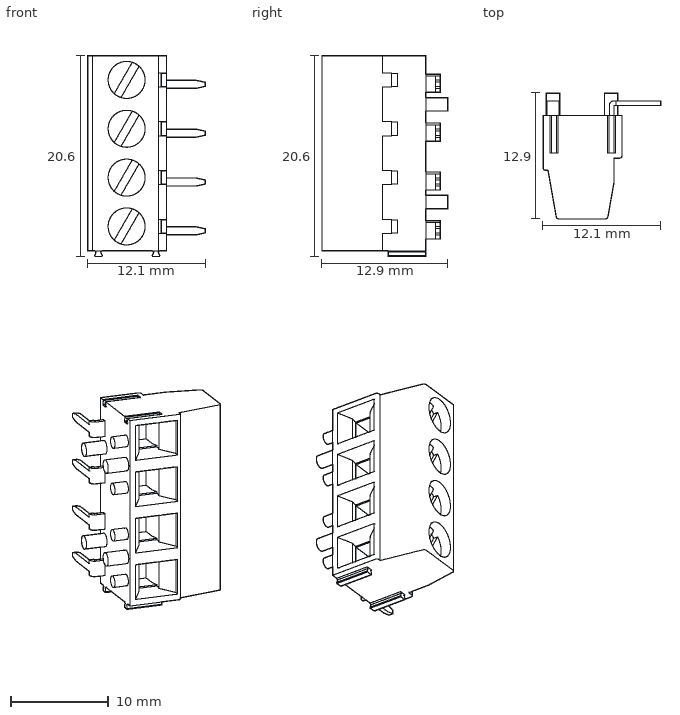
import cadquery as cq
import math


POLES = 4
DOVETAIL_HEIGHT = 0.6
OVERALL_HEIGHT = 20.6
BODY_HEIGHT = OVERALL_HEIGHT - DOVETAIL_HEIGHT
PITCH = BODY_HEIGHT / POLES
POLE_LEVELS = [PITCH * (pole + 0.5) for pole in range(POLES)]

BODY_WIDTH = 8.1
BODY_DEPTH = 10.63
OVERALL_WIDTH = 12.05
OVERALL_DEPTH = 12.9
LEFT_STEP_Y = 4.99
LEFT_STEP_X = 0.5
FLANGE_Y = 6.22
NECK_RIGHT_X = 7.27
RIGHT_TAPER_Y = 3.75
TAPER_SLOPE = math.tan(math.radians(10))
FRONT_RADIUS = 0.3
STEP_RADIUS = 0.25
FLANGE_RADIUS = 0.29

SCREW_X = 4.0
SCREW_DIAMETER = 3.8
SCREW_RECESS = 1.17
SLOT_WIDTH = 0.8
SLOT_DEPTH = 0.5
SLOT_ANGLE = 60

FUNNEL_FRONT_Y = 5.4
FUNNEL_BACK_Y = 10.01
FUNNEL_HEIGHT = 3.73
THROAT_FRONT_Y = 6.88
THROAT_BACK_Y = 9.06
THROAT_HEIGHT = 2.76
FRONT_LIP_DEPTH = 0.29
SIDE_WALL_DEPTH = 1.34
FLOOR_DEPTH = 1.65
THROAT_END_X = 1.9
CLAMP_BACK_Y = 9.0
CLAMP_FRONT_Y = 7.09
CLAMP_HEIGHT = 2.47
CLAMP_SLANT_DEPTH = 0.82
CLAMP_END_X = 4.33

WINDOW_BOTTOM_OFFSET = -0.72
WINDOW_HEIGHT = 1.45
WINDOW_FLOOR_X = 7.54
WINDOW_FLOOR_Y = 7.13
POCKET_MARGIN = 0.05
POCKET_DEPTH = 0.62

DOVETAIL_CENTERS = [1.11, 7]
DOVETAIL_LENGTH = 3.85
DOVETAIL_HALF_WIDTH = 0.4
DOVETAIL_NECK_HALF_WIDTH = 0.25
RAIL_NECK_DEPTH = 0.12
GROOVE_NECK_DEPTH = 0.06
DOVETAIL_END_HALF_WIDTH = 0.35
DOVETAIL_FLARE_DEPTH = 0.5

POST_CENTERS = [1.0, 6.96]
POST_DIAMETER = 1.4
STUD_DIAMETER = 1.2

PIN_THICKNESS = 0.5
PIN_BACK_Y = 12.11
PIN_LEFT_X = 6.78
PIN_OFFSET = -0.45
PIN_ROOT_WIDTH = 1.67
PIN_SHOULDER_X = 7.48
PIN_WIDTH = 0.85
PIN_TIP_WIDTH = 0.43
PIN_TIP_LENGTH = 0.93
PIN_EMBEDMENT = 0.2


def box(x_range, y_range, z_range):
    """Axis-aligned box between the given limits."""
    size = [high - low for low, high in (x_range, y_range, z_range)]
    corner = (x_range[0], y_range[0], z_range[0])
    return cq.Workplane("XY").box(*size, centered=False).translate(corner)


def cylinder_along_y(x, z, diameter, start_y, end_y):
    """Round bar from start_y to end_y."""
    return (
        cq.Workplane("XZ", origin=(x, start_y, z))
        .circle(diameter / 2)
        .extrude(start_y - end_y)
    )


def housing():
    """Stepped and tapered housing prism with its four outer corners rounded."""
    front_left = (LEFT_STEP_X + LEFT_STEP_Y * TAPER_SLOPE, 0)
    front_right = (NECK_RIGHT_X - RIGHT_TAPER_Y * TAPER_SLOPE, 0)
    step_corner = (0, LEFT_STEP_Y)
    flange_corner = (BODY_WIDTH, FLANGE_Y)
    outline = [
        front_left,
        front_right,
        (NECK_RIGHT_X, RIGHT_TAPER_Y),
        (NECK_RIGHT_X, FLANGE_Y),
        flange_corner,
        (BODY_WIDTH, BODY_DEPTH),
        (0, BODY_DEPTH),
        step_corner,
        (LEFT_STEP_X, LEFT_STEP_Y),
    ]
    body = cq.Workplane("XY").polyline(outline).close().extrude(BODY_HEIGHT)
    rounded_corners = [
        (front_left, FRONT_RADIUS),
        (front_right, FRONT_RADIUS),
        (step_corner, STEP_RADIUS),
        (flange_corner, FLANGE_RADIUS),
    ]
    for (x, y), radius in rounded_corners:
        edge = cq.selectors.NearestToPointSelector((x, y, BODY_HEIGHT / 2))
        body = body.edges("|Z").edges(edge).fillet(radius)
    return body


def screw_recess(level):
    """Round recess down to the screw head, with the driver slot below it."""
    recess = cylinder_along_y(SCREW_X, level, SCREW_DIAMETER, 0, SCREW_RECESS)
    slot_floor = SCREW_RECESS + SLOT_DEPTH
    slot = (
        cq.Workplane("XZ", origin=(SCREW_X, slot_floor, level))
        .transformed(rotate=(0, 0, SLOT_ANGLE))
        .rect(SCREW_DIAMETER, SLOT_WIDTH)
        .extrude(SLOT_DEPTH)
        .intersect(cylinder_along_y(SCREW_X, level, SCREW_DIAMETER, 0, slot_floor))
    )
    return recess.union(slot)


def wire_entry(level):
    """Funnel whose walls turn straight at different depths, then the clamp chamber."""
    plan = [
        (0, FUNNEL_FRONT_Y),
        (FRONT_LIP_DEPTH, FUNNEL_FRONT_Y),
        (SIDE_WALL_DEPTH, THROAT_FRONT_Y),
        (THROAT_END_X, THROAT_FRONT_Y),
        (THROAT_END_X, THROAT_BACK_Y),
        (SIDE_WALL_DEPTH, THROAT_BACK_Y),
        (0, FUNNEL_BACK_Y),
    ]
    upper_side = [
        (0, FUNNEL_HEIGHT / 2),
        (FLOOR_DEPTH, THROAT_HEIGHT / 2),
        (THROAT_END_X, THROAT_HEIGHT / 2),
    ]
    lower_side = [(x, -z) for x, z in reversed(upper_side)]
    elevation = (
        cq.Workplane("XZ", origin=(0, FUNNEL_BACK_Y, level))
        .polyline(upper_side + lower_side)
        .close()
        .extrude(FUNNEL_BACK_Y - FUNNEL_FRONT_Y)
    )
    funnel = (
        cq.Workplane("XY", origin=(0, 0, level - FUNNEL_HEIGHT / 2))
        .polyline(plan)
        .close()
        .extrude(FUNNEL_HEIGHT)
        .intersect(elevation)
    )
    clamp = (
        cq.Workplane("XY", origin=(0, 0, level - CLAMP_HEIGHT / 2))
        .moveTo(THROAT_END_X, THROAT_FRONT_Y)
        .lineTo(THROAT_END_X + CLAMP_SLANT_DEPTH, CLAMP_FRONT_Y)
        .lineTo(CLAMP_END_X, CLAMP_FRONT_Y)
        .lineTo(CLAMP_END_X, CLAMP_BACK_Y)
        .lineTo(THROAT_END_X, CLAMP_BACK_Y)
        .close()
        .extrude(CLAMP_HEIGHT)
    )
    return funnel.union(clamp)


def flange_window(level):
    """Window in the front of the right flange with one slanted wall, and its floor pocket."""
    bottom = level + WINDOW_BOTTOM_OFFSET
    top = bottom + WINDOW_HEIGHT
    window = (
        cq.Workplane("XY", origin=(0, 0, bottom))
        .moveTo(NECK_RIGHT_X, FLANGE_Y)
        .lineTo(WINDOW_FLOOR_X, WINDOW_FLOOR_Y)
        .lineTo(BODY_WIDTH, WINDOW_FLOOR_Y)
        .lineTo(BODY_WIDTH, FLANGE_Y)
        .close()
        .extrude(WINDOW_HEIGHT)
    )
    pocket = box(
        (WINDOW_FLOOR_X + POCKET_MARGIN, BODY_WIDTH),
        (WINDOW_FLOOR_Y, WINDOW_FLOOR_Y + POCKET_DEPTH),
        (bottom + POCKET_MARGIN, top - POCKET_MARGIN),
    )
    return window.union(pocket)


def dovetail(x, top, neck_depth):
    """Waisted bar hanging below the level `top`, ending at the back face."""
    right_side = [
        (DOVETAIL_HALF_WIDTH, 0),
        (DOVETAIL_NECK_HALF_WIDTH, -neck_depth),
        (DOVETAIL_HALF_WIDTH, -DOVETAIL_FLARE_DEPTH),
        (DOVETAIL_END_HALF_WIDTH, -DOVETAIL_HEIGHT),
    ]
    left_side = [(-half_width, z) for half_width, z in reversed(right_side)]
    return (
        cq.Workplane("XZ", origin=(x, BODY_DEPTH, top))
        .polyline(right_side + left_side)
        .close()
        .extrude(DOVETAIL_LENGTH)
    )


def solder_pin(level):
    """Flat pin leaving the back face and bent towards +X, narrowed after the bend."""
    center_z = level + PIN_OFFSET
    bend = (
        cq.Workplane("XY", origin=(0, 0, center_z - PIN_ROOT_WIDTH / 2))
        .moveTo(PIN_LEFT_X, BODY_DEPTH - PIN_EMBEDMENT)
        .lineTo(PIN_LEFT_X, PIN_BACK_Y - PIN_THICKNESS)
        .radiusArc((PIN_LEFT_X + PIN_THICKNESS, PIN_BACK_Y), PIN_THICKNESS)
        .lineTo(PIN_SHOULDER_X, PIN_BACK_Y)
        .lineTo(PIN_SHOULDER_X, PIN_BACK_Y - PIN_THICKNESS)
        .lineTo(PIN_LEFT_X + PIN_THICKNESS, PIN_BACK_Y - PIN_THICKNESS)
        .lineTo(PIN_LEFT_X + PIN_THICKNESS, BODY_DEPTH - PIN_EMBEDMENT)
        .close()
        .extrude(PIN_ROOT_WIDTH)
    )
    taper_x = OVERALL_WIDTH - PIN_TIP_LENGTH
    blade_outline = [
        (PIN_SHOULDER_X, -PIN_WIDTH / 2),
        (taper_x, -PIN_WIDTH / 2),
        (OVERALL_WIDTH, -PIN_TIP_WIDTH / 2),
        (OVERALL_WIDTH, PIN_TIP_WIDTH / 2),
        (taper_x, PIN_WIDTH / 2),
        (PIN_SHOULDER_X, PIN_WIDTH / 2),
    ]
    blade = (
        cq.Workplane("XZ", origin=(0, PIN_BACK_Y, center_z))
        .polyline(blade_outline)
        .close()
        .extrude(PIN_THICKNESS)
    )
    return bend.union(blade)


result = housing()

for z in POLE_LEVELS:
    result = result.cut(screw_recess(z)).cut(wire_entry(z)).cut(flange_window(z))

for x in DOVETAIL_CENTERS:
    result = result.cut(dovetail(x, BODY_HEIGHT, GROOVE_NECK_DEPTH))
    result = result.union(dovetail(x, 0, RAIL_NECK_DEPTH))

for z in (PITCH, BODY_HEIGHT - PITCH):
    for x in POST_CENTERS:
        result = result.union(cylinder_along_y(x, z, POST_DIAMETER, BODY_DEPTH, OVERALL_DEPTH))

for z in POLE_LEVELS:
    result = result.union(cylinder_along_y(POST_CENTERS[0], z, STUD_DIAMETER, BODY_DEPTH, PIN_BACK_Y))
    result = result.union(solder_pin(z))